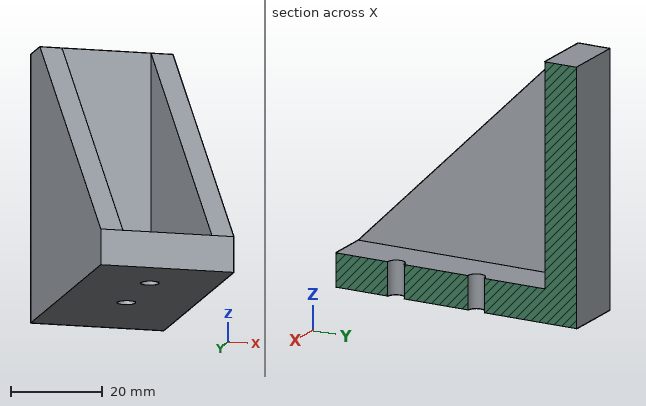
import cadquery as cq

width = 30.0
leg_length = 60.0

plate_thickness = 8.0
gusset_thickness = 5.0

hole_diameter = 4.0
first_hole_distance = 15.0
hole_spacing = 20.0

front_y = -leg_length / 2
back_y = leg_length / 2
wall_front_y = back_y - plate_thickness


def bracket_blank():
    """Full-width side profile: base and back plates joined by a sloping web."""
    profile = [
        (front_y, 0),
        (back_y, 0),
        (back_y, leg_length),
        (wall_front_y, leg_length),
        (front_y, plate_thickness),
    ]
    return cq.Workplane("YZ").polyline(profile).close().extrude(width / 2, both=True)


def gusset_gap():
    """Open space between the two triangular gussets."""
    gap_width = width - 2 * gusset_thickness
    gap_side = leg_length - plate_thickness
    return (
        cq.Workplane("XY")
        .box(gap_width, gap_side, gap_side, centered=(True, False, False))
        .translate((0, front_y, plate_thickness))
    )


def base_holes():
    """Vertical through holes along the centreline of the base."""
    first_y = front_y + first_hole_distance
    centres = [(0, first_y), (0, first_y + hole_spacing)]
    return cq.Workplane("XY").pushPoints(centres).circle(hole_diameter / 2).extrude(plate_thickness)


result = bracket_blank().cut(gusset_gap()).cut(base_holes())